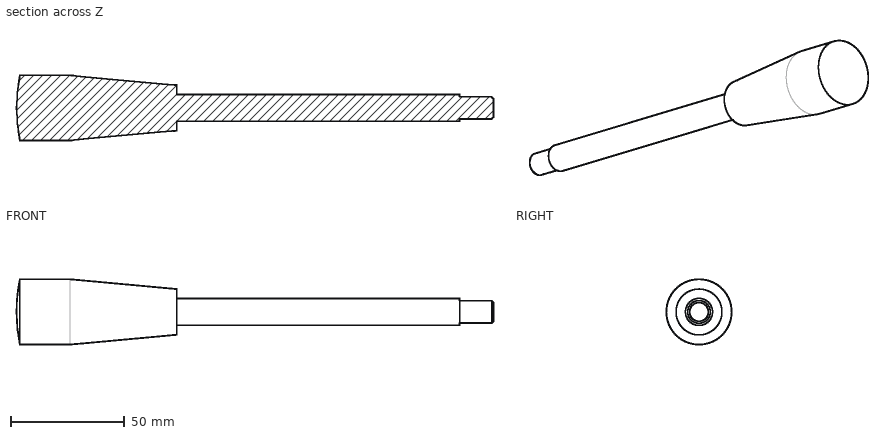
import cadquery as cq

total_length = 211.0
dome_height = 1.5
grip_length = 69.5
grip_straight_length = 22.2
grip_diameter = 29.0
grip_narrow_diameter = 20.3
rod_diameter = 12.0
spigot_diameter = 10.0
spigot_length = 15.0
spigot_chamfer = 0.9

tip = total_length - dome_height
shoulder = tip - spigot_length


def make_grip():
    """Cylindrical grip with a shallow spherical end, tapering towards the rod."""
    grip_radius = grip_diameter / 2
    dome_radius = (grip_radius**2 + dome_height**2) / (2 * dome_height)
    mid_radius = grip_radius / 2
    mid_x = dome_radius - dome_height - (dome_radius**2 - mid_radius**2) ** 0.5
    profile = (
        cq.Workplane("XZ")
        .moveTo(-dome_height, 0)
        .threePointArc((mid_x, mid_radius), (0, grip_radius))
        .lineTo(grip_straight_length, grip_radius)
        .lineTo(grip_length, grip_narrow_diameter / 2)
        .lineTo(grip_length, 0)
        .close()
    )
    return profile.revolve(360, (0, 0, 0), (1, 0, 0))


def make_rod():
    """Rod leaving the grip, stepped down to a chamfered spigot."""
    rod_radius = rod_diameter / 2
    spigot_radius = spigot_diameter / 2
    profile = (
        cq.Workplane("XZ")
        .moveTo(grip_length, 0)
        .lineTo(grip_length, rod_radius)
        .lineTo(shoulder, rod_radius)
        .lineTo(shoulder, spigot_radius)
        .lineTo(tip - spigot_chamfer, spigot_radius)
        .lineTo(tip, spigot_radius - spigot_chamfer)
        .lineTo(tip, 0)
        .close()
    )
    return profile.revolve(360, (0, 0, 0), (1, 0, 0))


result = make_grip().union(make_rod())